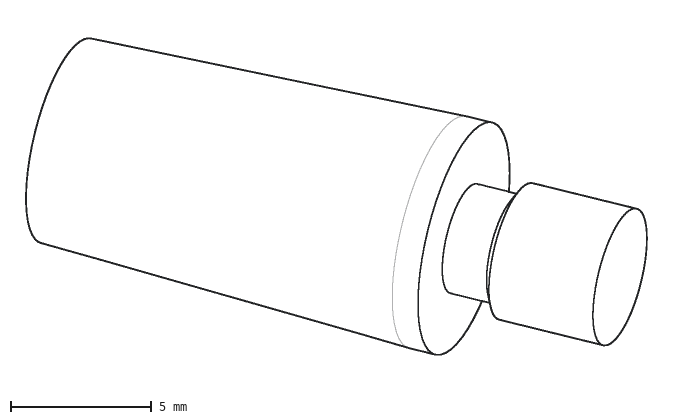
import cadquery as cq

total_length = 21.3
grip_end_diameter = 7.5
collar_diameter = 8.5
collar_length = 1.0
neck_diameter = 4.0
head_diameter = 5.0
shank_length = 6.0
head_length = 4.0
head_bevel_length = 0.3

grip_end_radius = grip_end_diameter / 2
collar_radius = collar_diameter / 2
neck_radius = neck_diameter / 2
head_radius = head_diameter / 2

collar_end = total_length - shank_length
collar_start = collar_end - collar_length
head_start = total_length - head_length
neck_end = head_start - head_bevel_length

half_profile = (
    cq.Workplane("XY")
    .moveTo(0, 0)
    .lineTo(0, grip_end_radius)
    .lineTo(collar_start, collar_radius)
    .lineTo(collar_end, collar_radius)
    .lineTo(collar_end, neck_radius)
    .lineTo(neck_end, neck_radius)
    .lineTo(head_start, head_radius)
    .lineTo(total_length, head_radius)
    .lineTo(total_length, 0)
    .close()
)

result = half_profile.revolve(360, (0, 0, 0), (1, 0, 0))